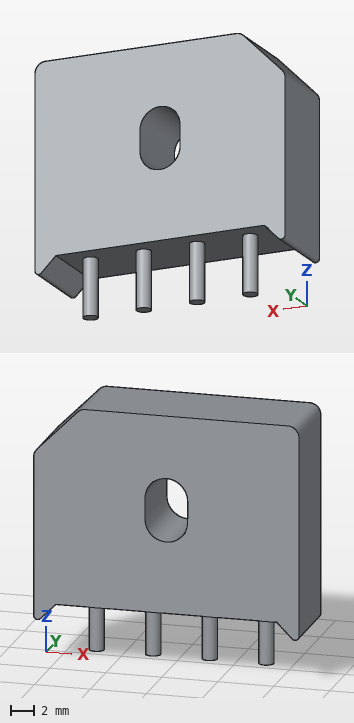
import cadquery as cq

width = 23.7
thickness = 7.1
height = 17.78
half_width = width / 2
corner_cut = 4.22
corner_radius = 1.0

foot_width = 2.0
foot_drop = foot_width
foot_radius = 0.35

slot_width = 3.8
slot_length = 5.7
slot_center_z = 9.3

lead_count = 4
lead_pitch = 5.05
lead_diameter = 1.33
lead_length = 5.3
lead_y = 1.4


def make_housing():
    """Plate with one cut corner, two pointed feet and a slotted hole."""
    outline = [
        (-half_width, -foot_drop),
        (-half_width, height - corner_cut),
        (-half_width + corner_cut, height),
        (half_width, height),
        (half_width, -foot_drop),
        (half_width - foot_width, 0),
        (-half_width + foot_width, 0),
    ]
    body = (
        cq.Workplane("XZ")
        .polyline(outline)
        .close()
        .extrude(thickness / 2, both=True)
    )
    upper_edges = cq.selectors.BoxSelector(
        (-width, -thickness, height / 2), (width, thickness, 2 * height)
    )
    body = body.edges("|Y").edges(upper_edges).fillet(corner_radius)
    body = body.edges("|Y").edges("<Z").fillet(foot_radius)

    slot = (
        cq.Workplane("XZ")
        .center(0, slot_center_z)
        .slot2D(slot_length, slot_width, 90)
        .extrude(thickness, both=True)
    )
    return body.cut(slot)


def make_lead(x):
    """Round pin hanging from the underside of the housing."""
    return (
        cq.Workplane("XY")
        .center(x, lead_y)
        .circle(lead_diameter / 2)
        .extrude(-lead_length)
    )


housing = make_housing()
first_lead_x = -lead_pitch * (lead_count - 1) / 2
leads = [make_lead(first_lead_x + i * lead_pitch) for i in range(lead_count)]

result = cq.Compound.makeCompound([housing.val(), *[lead.val() for lead in leads]])